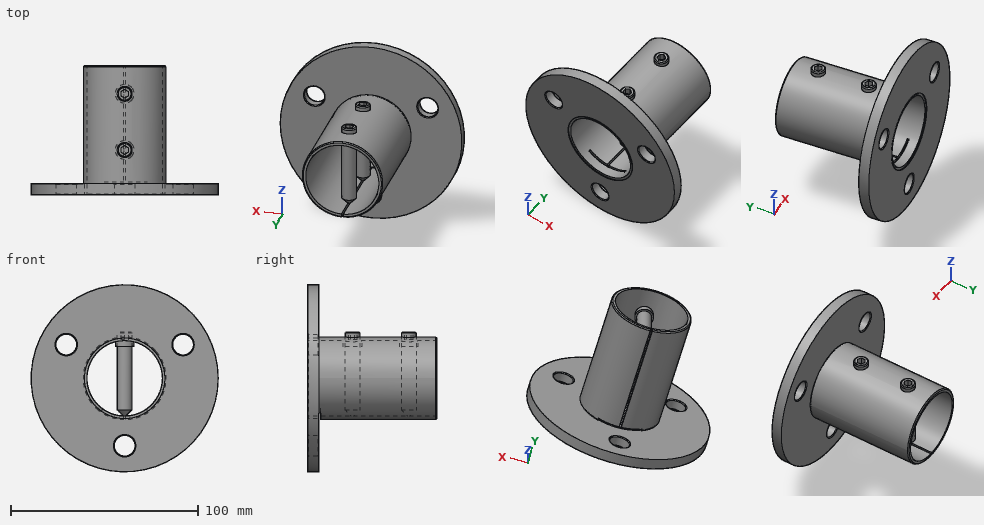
import cadquery as cq
import math


flange_diameter = 100.0
flange_thickness = 6.0
bolt_hole_count = 3
bolt_hole_diameter = 11.0
bolt_hole_chamfer = 0.5
bolt_circle_radius = 36.0
first_bolt_angle = 30.0

total_length = 69.0
tube_outer_diameter = 44.2
tube_bore_diameter = 40.2
tube_end_chamfer = 0.6
spigot_diameter = 43.0
spigot_recess = 0.5

cross_slit_length = 24.0
slit_width = 1.0

screw_diameter = 8.0
screw_top = 24.7
screw_length = 44.7
screw_top_chamfer = 0.6
screw_tip_diameter = 1.6
socket_across_flats = 4.0
socket_depth = 4.0
hexagon_sides = 6
hexagon_turn = 90.0
screw_positions = (24.0, 54.0)
collar_diameter = 10.0
collar_bottom = 17.0

tube_outer_radius = tube_outer_diameter / 2
tube_bore_radius = tube_bore_diameter / 2


def cylinder_along_y(diameter, start, end):
    """Solid cylinder on the tube axis between two Y positions."""
    plane = cq.Workplane("XZ", origin=(0, start, 0))
    return plane.circle(diameter / 2).extrude(start - end)


def cylinder_along_z(diameter, y, bottom, top):
    """Solid upright cylinder at X = 0 and the given Y."""
    plane = cq.Workplane("XY", origin=(0, y, bottom))
    return plane.circle(diameter / 2).extrude(top - bottom)


def make_bolt_hole(angle):
    """Cutter for one through hole, chamfered at both flange faces."""
    x = bolt_circle_radius * math.cos(math.radians(angle))
    z = bolt_circle_radius * math.sin(math.radians(angle))
    radius = bolt_hole_diameter / 2
    mouth_radius = radius + bolt_hole_chamfer
    profile = (
        cq.Workplane("XY")
        .moveTo(0, 0)
        .lineTo(mouth_radius, 0)
        .lineTo(radius, bolt_hole_chamfer)
        .lineTo(radius, flange_thickness - bolt_hole_chamfer)
        .lineTo(mouth_radius, flange_thickness)
        .lineTo(0, flange_thickness)
        .close()
    )
    return profile.revolve(360, (0, 0), (0, 1)).translate((x, 0, z))


def make_flange():
    """Round plate with bolt holes and a central hole for the tube spigot."""
    flange = cylinder_along_y(flange_diameter, 0, flange_thickness)
    flange = flange.cut(cylinder_along_y(spigot_diameter, 0, flange_thickness))
    for i in range(bolt_hole_count):
        flange = flange.cut(make_bolt_hole(first_bolt_angle + i * 360 / bolt_hole_count))
    return flange


def make_slits():
    """Cutter for the cross slit beside the flange and the slit along the tube."""
    slit_height = tube_outer_diameter
    cross_slit = cq.Workplane("XY").box(
        cross_slit_length, slit_width, slit_height, centered=(True, False, False)
    )
    long_slit = cq.Workplane("XY").box(
        slit_width, total_length - flange_thickness, slit_height, centered=(True, False, False)
    )
    return cross_slit.union(long_slit).translate((0, flange_thickness, -slit_height))


def make_tube():
    """Slit clamping tube with a spigot in the flange and two threaded collars."""
    tube = cylinder_along_y(tube_outer_diameter, flange_thickness, total_length)
    tube = tube.faces(">Y").edges().chamfer(tube_end_chamfer)
    tube = tube.union(cylinder_along_y(spigot_diameter, spigot_recess, flange_thickness))
    tube = tube.cut(cylinder_along_y(tube_bore_diameter, spigot_recess, total_length))
    tube = tube.cut(make_slits())
    collar_top = (tube_outer_radius + tube_bore_radius) / 2
    for y in screw_positions:
        tube = tube.union(cylinder_along_z(collar_diameter, y, collar_bottom, collar_top))
        tube = tube.cut(cylinder_along_z(screw_diameter, y, 0, screw_top))
    return tube


def make_screw(y):
    """Hexagon socket set screw with a 45 degree cone point just above the bore floor."""
    radius = screw_diameter / 2
    screw_bottom = screw_top - screw_length
    cone_length = radius - screw_tip_diameter / 2
    screw = (
        cq.Workplane("XZ")
        .moveTo(0, screw_bottom)
        .lineTo(screw_tip_diameter / 2, screw_bottom)
        .lineTo(radius, screw_bottom + cone_length)
        .lineTo(radius, screw_top - screw_top_chamfer)
        .lineTo(radius - screw_top_chamfer, screw_top)
        .lineTo(0, screw_top)
        .close()
        .revolve(360, (0, 0), (0, 1))
    )
    socket_across_corners = socket_across_flats / math.cos(math.pi / hexagon_sides)
    socket = (
        cq.Workplane("XY", origin=(0, 0, screw_top))
        .transformed(rotate=(0, 0, hexagon_turn))
        .polygon(hexagon_sides, socket_across_corners)
        .extrude(-socket_depth)
    )
    return screw.cut(socket).translate((0, y, 0))


flange = make_flange()
tube = make_tube()
screws = [make_screw(y).val() for y in screw_positions]

result = cq.Compound.makeCompound([flange.val(), tube.val(), *screws])